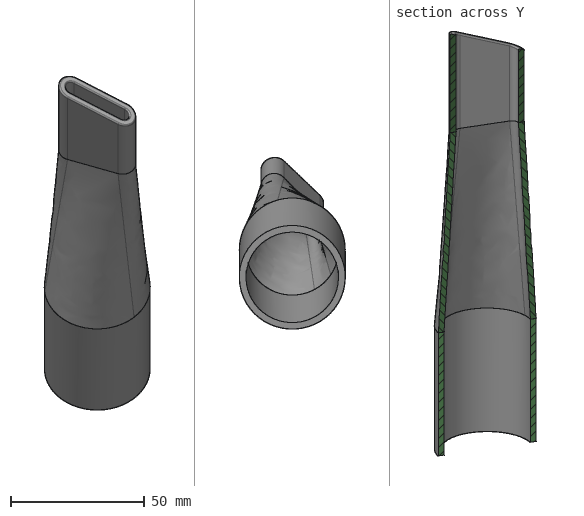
import cadquery as cq
import math

wall = 2.5

socket_diameter = 39.7
socket_bore = socket_diameter - 2 * wall
socket_height = 50.0

slot_length = 30.0
slot_width = 10.0
bore_length = slot_length - 2 * wall
bore_width = slot_width - 2 * wall

total_height = 169.8
adapter_height = 80.1
tip_base = socket_height + adapter_height

cut_angle = 20.0
cut_slope = math.radians(cut_angle)
cut_drop = slot_length * math.tan(cut_slope)

rim_radius = 0.5
corner_loss = rim_radius * (math.tan(cut_slope) + 1 / math.cos(cut_slope) - 1)
sharp_top = total_height + corner_loss


def circle_to_slot(diameter, length, width):
    """Solid that blends from a circle at the socket to a slot at the tip."""
    straight_half = (length - width) / 2
    corner_angle = math.atan2(width / 2, straight_half)
    radius = diameter / 2

    def rim_point(angle):
        return radius * math.cos(angle), radius * math.sin(angle)

    right_low = rim_point(-corner_angle)
    right_high = rim_point(corner_angle)
    left_high = rim_point(math.pi - corner_angle)
    left_low = rim_point(math.pi + corner_angle)
    return (
        cq.Workplane("XY")
        .workplane(offset=socket_height)
        .moveTo(*right_low)
        .threePointArc((radius, 0), right_high)
        .threePointArc((0, radius), left_high)
        .threePointArc((-radius, 0), left_low)
        .threePointArc((0, -radius), right_low)
        .close()
        .workplane(offset=adapter_height)
        .moveTo(straight_half, -width / 2)
        .threePointArc((length / 2, 0), (straight_half, width / 2))
        .lineTo(-straight_half, width / 2)
        .threePointArc((-length / 2, 0), (-straight_half, -width / 2))
        .close()
        .loft(ruled=True)
    )


def make_socket():
    """Plain round tube."""
    return (
        cq.Workplane("XY")
        .circle(socket_diameter / 2)
        .circle(socket_bore / 2)
        .extrude(socket_height)
    )


def make_adapter():
    """Hollow transition from the round socket to the flat tip."""
    outside = circle_to_slot(socket_diameter, slot_length, slot_width)
    inside = circle_to_slot(socket_bore, bore_length, bore_width)
    return outside.cut(inside)


def make_tip():
    """Slot-shaped tube with a sloping, rounded end."""
    tube = (
        cq.Workplane("XY")
        .workplane(offset=tip_base)
        .slot2D(slot_length, slot_width)
        .slot2D(bore_length, bore_width)
        .extrude(sharp_top - tip_base)
    )
    cut_wedge = (
        cq.Workplane("XZ")
        .moveTo(-slot_length / 2, sharp_top)
        .lineTo(slot_length / 2, sharp_top)
        .lineTo(slot_length / 2, sharp_top - cut_drop)
        .close()
        .extrude(slot_width, both=True)
    )
    end_direction = cq.Vector(math.sin(cut_slope), 0, math.cos(cut_slope))
    end_face = cq.selectors.DirectionMinMaxSelector(end_direction)
    return tube.cut(cut_wedge).faces(end_face).edges().fillet(rim_radius)


socket = make_socket()
adapter = make_adapter()
tip = make_tip()

result = cq.Compound.makeCompound([socket.val(), adapter.val(), tip.val()])